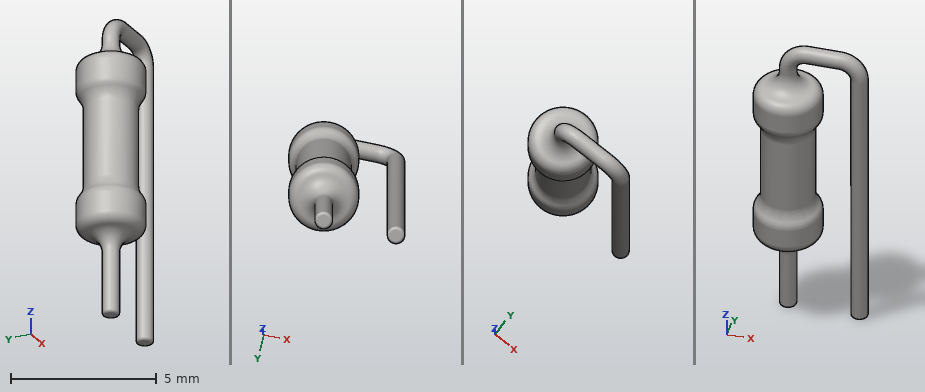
import cadquery as cq
import math

total_height = 11.4
lead_diameter = 0.6
lead_spacing = 2.53
bend_radius = 0.7
tip_fillet = 0.1

cap_diameter = 2.4
barrel_diameter = 1.9
body_center_z = 6.32
cap_band_start = 2.15
cap_band_length = 0.72
cap_round_radius = 0.4
neck_radius = 0.7

lead_radius = lead_diameter / 2
cap_radius = cap_diameter / 2
barrel_radius = barrel_diameter / 2
bend_start_z = total_height - lead_radius - bend_radius


def blend_angle(inner_radius):
    """Turn of each arc in the tangent S-curve from the cap down to inner_radius."""
    drop = cap_radius - inner_radius
    return math.acos(1 - drop / (cap_round_radius + neck_radius))


def blend_points(inner_radius, band_z, direction):
    """Points of the S-curve from the cap band to inner_radius; direction is the sign along Z."""
    angle = blend_angle(inner_radius)
    neck_z = band_z + direction * (cap_round_radius + neck_radius) * math.sin(angle)

    def cap_arc(turn):
        return (
            cap_radius - cap_round_radius * (1 - math.cos(turn)),
            band_z + direction * cap_round_radius * math.sin(turn),
        )

    def neck_arc(turn):
        return (
            inner_radius + neck_radius * (1 - math.cos(turn)),
            neck_z - direction * neck_radius * math.sin(turn),
        )

    return [cap_arc(0), cap_arc(angle / 2), cap_arc(angle), neck_arc(angle / 2), neck_arc(0)]


def flipped(points):
    """The same points mirrored to the other half of the body, in reverse order."""
    return [(radius, -z) for radius, z in reversed(points)]


def add_blend(outline, points):
    """Continue an outline with a straight run to an S-curve, then along its two arcs."""
    start, first_mid, join, second_mid, end = points
    return outline.lineTo(*start).threePointArc(first_mid, join).threePointArc(second_mid, end)


def make_body():
    """Both caps and the barrel, revolved about Z from one outline running bottom to top."""
    barrel_blend = blend_points(barrel_radius, cap_band_start, -1)[::-1]
    lead_blend = blend_points(lead_radius, cap_band_start + cap_band_length, 1)
    body_end = lead_blend[-1][1]

    outline = cq.Workplane("XZ", origin=(0, 0, body_center_z)).moveTo(0, -body_end)
    outline = add_blend(outline, flipped(lead_blend))
    outline = add_blend(outline, flipped(barrel_blend))
    outline = add_blend(outline, barrel_blend)
    outline = add_blend(outline, lead_blend)
    return outline.lineTo(0, body_end).close().revolve(360, (0, 0, 0), (0, 1, 0))


def make_straight_lead(x):
    """Vertical lead from the rounded tip at Z = 0 up to the start of the bend."""
    lead = cq.Workplane("XY").center(x, 0).circle(lead_radius).extrude(bend_start_z)
    return lead.faces("<Z").edges().fillet(tip_fillet)


def make_lead_loop():
    """Two quarter bends joined by a straight run across the top."""
    top_z = bend_start_z + bend_radius
    path = (
        cq.Workplane("XZ")
        .moveTo(0, bend_start_z)
        .radiusArc((bend_radius, top_z), bend_radius)
        .lineTo(lead_spacing - bend_radius, top_z)
        .radiusArc((lead_spacing, bend_start_z), bend_radius)
    )
    return cq.Workplane("XY", origin=(0, 0, bend_start_z)).circle(lead_radius).sweep(path)


result = (
    make_body()
    .union(make_straight_lead(0))
    .union(make_straight_lead(lead_spacing))
    .union(make_lead_loop())
)